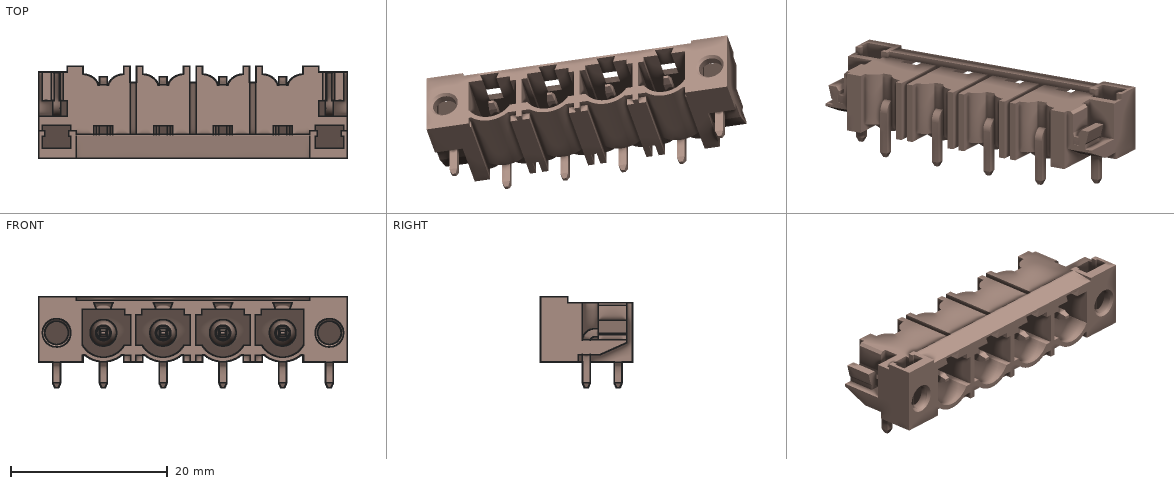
import cadquery as cq
import math


length = 39.35
depth = 11.75
roof_height = 7.6
core_half_length = 16.05
pole_count = 4
pole_span = 22.85
pitch = pole_span / (pole_count - 1)
pole_xs = [-pole_span / 2 + i * pitch for i in range(pole_count)]
septum_xs = [x + pitch / 2 for x in pole_xs[:-1]]
axis_height = 3.75

flange_height = 8.35
flange_depth = 3.5
flange_inner_x = 14.9
strip_front_height = 7.9
strip_slope_depth = 2.85
strip_depth = 3.05

cavity_depth = 8.0
cavity_radius = 3.1
cavity_floor_edge = 2.12
cavity_shoulder_height = 6.0
cavity_top = 6.73
cavity_narrow = 2.7
cavity_wide = 3.45
lip_radius = 3.7

boss_radius = 1.7
boss_rim_radius = 1.0
boss_face_radius = 0.83
boss_cone_length = 1.95
boss_length = 2.05

groove_depth = 4.15
groove_top_half = 1.2
groove_bottom_half = 0.9

roof_slot_width = 0.8
roof_slot_end = 9.68

foot_height = 0.9
foot_gap_half = 2.6
foot_front_recess = 0.8

scallop_half = 2.6
scallop_edge_y = 10.75
scallop_floor_y = 9.35
scallop_floor_half = 0.65
scallop_radius = 2.15

wing_x = 17.4
wing_foot_depth = 4.85
wing_underside = 0.95
wing_ramp_start = 7.6
wing_ramp_height = 2.48
wing_wall_depth = 5.35
shelf_height = 2.85
shelf_depth = 11.0
screw_radius = 1.5
countersink_radius = 1.8
pocket_width = 3.6
pocket_front = 1.3
pocket_back = 4.25
pocket_floor = 1.18
pocket_rib = 0.28
pocket_rib_front = 2.85
pocket_rib_back = 3.5

jaw_front = 7.35
jaw_height = 5.3
jaw_tip_x = 19.25
jaw_lean_x = 18.85
jaw_lean_height = 3.7
jaw_base_x = 18.65
jaw_base_height = 3.45
jaw_mouth_x = 18.1
throat_outer_x = 17.7
throat_inner_x = 17.07
throat_height = 4.75
jaw_wall_x = 16.9
jaw_wall_chamfer = 0.35

pin_size = 1.02
bend_outer_radius = 1.55
bend_inner_radius = bend_outer_radius - pin_size
pin_length_below = 3.25
pin_taper_length = 0.63
pin_tip_size = 0.47
contact_post_y = 9.9
contact_front_y = 0.9
contact_tip_length = 0.95
contact_tip_width = 0.63
contact_tip_height = 0.35
shoulder_height = 1.55
end_post_y = wing_wall_depth + pin_size / 2
end_bar_y = 10.95


def block(x0, x1, y0, y1, z0, z1):
    """Box between opposite corners."""
    return cq.Workplane("XY").box(x1 - x0, y1 - y0, z1 - z0, centered=False).translate((x0, y0, z0))


def side_prism(points, x0, x1):
    """Outline of (Y, Z) points extruded from x0 to x1."""
    return cq.Workplane("YZ", origin=(x0, 0, 0)).polyline(points).close().extrude(x1 - x0)


def front_plane(y):
    """Plane facing -Y whose local axes are X and Z."""
    return cq.Workplane("XZ", origin=(0, y, 0))


def both_ends(shape):
    """Shape together with its mirror image in the middle plane of the part."""
    return shape.union(shape.mirror("YZ"))


def bent_bar(post_y, bar_y):
    """Square bar lying along Y at the contact axis, bent down through a quarter circle at post_y."""
    side = math.copysign(1, bar_y - post_y)
    outer_y = post_y - side * pin_size / 2
    inner_y = post_y + side * pin_size / 2
    bend_y = outer_y + side * bend_outer_radius
    top = axis_height + pin_size / 2
    bottom = axis_height - pin_size / 2
    bend_z = top - bend_outer_radius
    diagonal = math.sqrt(0.5)
    taper_z = pin_taper_length - pin_length_below
    outer_mid = (bend_y - side * bend_outer_radius * diagonal, bend_z + bend_outer_radius * diagonal)
    inner_mid = (bend_y - side * bend_inner_radius * diagonal, bend_z + bend_inner_radius * diagonal)
    bar = (
        cq.Workplane("YZ")
        .moveTo(outer_y, taper_z)
        .lineTo(outer_y, bend_z)
        .threePointArc(outer_mid, (bend_y, top))
        .lineTo(bar_y, top)
        .lineTo(bar_y, bottom)
        .lineTo(bend_y, bottom)
        .threePointArc(inner_mid, (inner_y, bend_z))
        .lineTo(inner_y, taper_z)
        .close()
        .extrude(pin_size / 2, both=True)
    )
    tip = (
        cq.Workplane("XY", origin=(0, post_y, taper_z))
        .rect(pin_size, pin_size)
        .workplane(offset=-pin_taper_length)
        .rect(pin_tip_size, pin_tip_size)
        .loft()
    )
    return bar.union(tip)


def contact_pin(x):
    """Pole contact: bar with a tapered mating tip and a taller shoulder inside the boss."""
    tip_base_y = contact_front_y + contact_tip_length
    tip = (
        front_plane(tip_base_y)
        .center(0, axis_height)
        .rect(pin_size, pin_size)
        .workplane(offset=contact_tip_length)
        .rect(contact_tip_width, contact_tip_height)
        .loft()
    )
    shoulder = block(
        -pin_size / 2, pin_size / 2,
        cavity_depth - boss_length, cavity_depth,
        axis_height - shoulder_height / 2, axis_height + shoulder_height / 2,
    )
    return bent_bar(contact_post_y, tip_base_y).union(tip).union(shoulder).translate((x, 0, 0))


def end_pin(x):
    """Anchor pin clipped into the jaws of an end flange."""
    return bent_bar(end_post_y, end_bar_y).translate((x, 0, 0))


def front_strip():
    """Raised strip along the front edge of the roof, sloping down to the mating face."""
    outline = [
        (0, 0), (0, strip_front_height), (strip_slope_depth, flange_height),
        (strip_depth, flange_height), (strip_depth, 0),
    ]
    return side_prism(outline, -flange_inner_x, flange_inner_x)


def wing():
    """End flange on the +X side: front block, rear shelf with a ramped underside, raised top."""
    outline = [
        (0, 0), (0, roof_height), (wing_wall_depth, roof_height), (wing_wall_depth, shelf_height),
        (shelf_depth, shelf_height), (shelf_depth, wing_ramp_height), (wing_ramp_start, wing_underside),
        (wing_foot_depth, wing_underside), (wing_foot_depth, 0),
    ]
    body = side_prism(outline, core_half_length, length / 2)
    raised_top = block(flange_inner_x, length / 2, 0, flange_depth, 0, flange_height)
    return body.union(raised_top)


def jaws():
    """Snap jaws on the +X shelf: an outer hook and a tall inner wall around the pin channel."""
    pin_top = axis_height + pin_size / 2
    pin_bottom = axis_height - pin_size / 2
    pin_outer_x = wing_x + pin_size / 2
    pin_inner_x = wing_x - pin_size / 2
    outline = [
        (core_half_length, shelf_height),
        (jaw_base_x, shelf_height),
        (jaw_base_x, jaw_base_height),
        (jaw_lean_x, jaw_lean_height),
        (jaw_tip_x, jaw_height),
        (jaw_mouth_x, jaw_height),
        (throat_outer_x, throat_height),
        (throat_outer_x, pin_top),
        (pin_outer_x, pin_top),
        (pin_outer_x, pin_bottom),
        (pin_inner_x, pin_bottom),
        (pin_inner_x, pin_top),
        (throat_inner_x, pin_top),
        (jaw_wall_x, throat_height),
        (jaw_wall_x, roof_height - jaw_wall_chamfer),
        (jaw_wall_x - jaw_wall_chamfer, roof_height),
        (core_half_length, roof_height),
    ]
    return front_plane(shelf_depth).polyline(outline).close().extrude(shelf_depth - jaw_front)


def lip(x):
    """Rounded underside of a pole, reaching down between the feet."""
    tube = front_plane(scallop_floor_y).center(x, axis_height).circle(lip_radius).extrude(scallop_floor_y)
    return tube.intersect(block(x - lip_radius, x + lip_radius, 0, depth, 0, foot_height))


def boss(x):
    """Conical boss around the contact, with a chamfered rim at its face."""
    outline = [
        (0, cavity_depth),
        (boss_radius, cavity_depth),
        (boss_rim_radius, cavity_depth - boss_cone_length),
        (boss_face_radius, cavity_depth - boss_length),
        (0, cavity_depth - boss_length),
    ]
    return (
        cq.Workplane("XY")
        .polyline(outline)
        .close()
        .revolve(360, (0, 0, 0), (0, 1, 0))
        .translate((x, 0, axis_height))
    )


def cavity(x, left, right):
    """Pole cavity; left and right are the half widths of its lower part on either side."""
    upper = block(x - cavity_narrow, x + cavity_narrow, 0, cavity_depth, axis_height, cavity_top)
    lower = block(x - left, x + right, 0, cavity_depth, cavity_floor_edge, cavity_shoulder_height)
    round_floor = front_plane(cavity_depth).center(x, axis_height).circle(cavity_radius).extrude(cavity_depth)
    trough = block(x - cavity_narrow, x + cavity_narrow, 0, cavity_depth, 0, axis_height)
    return upper.union(lower).union(round_floor.intersect(trough))


def undercut(x, left, right):
    """Space between the feet of a pole, wider at the mating face."""
    rear = block(x - foot_gap_half, x + foot_gap_half, 0, depth, 0, foot_height)
    front = block(x - left, x + right, 0, foot_front_recess, 0, foot_height)
    return rear.union(front)


def coding_groove(x):
    """Dovetail groove through the roof above a cavity."""
    outline = [
        (x - groove_top_half, roof_height), (x + groove_top_half, roof_height),
        (x + groove_bottom_half, cavity_top), (x - groove_bottom_half, cavity_top),
    ]
    return front_plane(groove_depth).polyline(outline).close().extrude(groove_depth)


def roof_slot(x):
    """Slot between two poles: a shallow roof channel that opens through at the rear."""
    half = roof_slot_width / 2
    channel = block(x - half, x + half, strip_depth, depth, cavity_top, roof_height)
    opening = block(x - half, x + half, roof_slot_end, depth, 0, roof_height)
    return channel.union(opening)


def scallop(x):
    """Rear recess with rounded shoulders that clears the bend of a contact."""
    reach = scallop_half - scallop_floor_half
    shoulder_y = scallop_edge_y - scallop_radius + math.sqrt(scallop_radius**2 - reach**2)
    mid_reach = reach / 2
    mid_x = scallop_half - mid_reach
    mid_y = scallop_edge_y - scallop_radius + math.sqrt(scallop_radius**2 - mid_reach**2)
    return (
        cq.Workplane("XY")
        .moveTo(-scallop_half, depth)
        .lineTo(-scallop_half, scallop_edge_y)
        .threePointArc((-mid_x, mid_y), (-scallop_floor_half, shoulder_y))
        .lineTo(-scallop_floor_half, scallop_floor_y)
        .lineTo(scallop_floor_half, scallop_floor_y)
        .lineTo(scallop_floor_half, shoulder_y)
        .threePointArc((mid_x, mid_y), (scallop_half, scallop_edge_y))
        .lineTo(scallop_half, depth)
        .close()
        .extrude(roof_height)
        .translate((x, 0, 0))
    )


def screw_hole():
    """Countersunk screw hole from the mating face of the +X flange into its nut pocket."""
    countersink_depth = countersink_radius - screw_radius
    bore = front_plane(pocket_front).center(wing_x, axis_height).circle(screw_radius).extrude(pocket_front)
    cone = (
        front_plane(countersink_depth)
        .center(wing_x, axis_height)
        .circle(screw_radius)
        .workplane(offset=countersink_depth)
        .circle(countersink_radius)
        .loft()
    )
    return bore.union(cone)


def nut_pocket():
    """Pocket open at the top of the +X flange, narrowed by a rib on either side."""
    x0 = wing_x - pocket_width / 2
    x1 = wing_x + pocket_width / 2
    pocket = block(x0, x1, pocket_front, pocket_back, pocket_floor, flange_height)
    rib_spans = [(x0, x0 + pocket_rib), (x1 - pocket_rib, x1)]
    for rib_x0, rib_x1 in rib_spans:
        rib = block(rib_x0, rib_x1, pocket_rib_front, pocket_rib_back, pocket_floor, flange_height)
        pocket = pocket.cut(rib)
    return pocket


contacts = [contact_pin(x) for x in pole_xs]
end_pins = [end_pin(x) for x in (-wing_x, wing_x)]

housing = block(-core_half_length, core_half_length, 0, depth, 0, roof_height)
housing = housing.union(front_strip()).union(both_ends(wing())).union(both_ends(jaws()))
for x in pole_xs:
    left = cavity_narrow if x == pole_xs[0] else cavity_wide
    right = cavity_narrow if x == pole_xs[-1] else cavity_wide
    housing = housing.cut(undercut(x, left, right)).union(lip(x))
    housing = housing.cut(cavity(x, left, right)).union(boss(x))
    housing = housing.cut(coding_groove(x)).cut(scallop(x))
for x in septum_xs:
    housing = housing.cut(roof_slot(x))
housing = housing.cut(both_ends(nut_pocket())).cut(both_ends(screw_hole()))
for pin in contacts + end_pins:
    housing = housing.cut(pin)

bodies = [housing] + contacts + end_pins
result = cq.Compound.makeCompound([body.solids().val() for body in bodies])